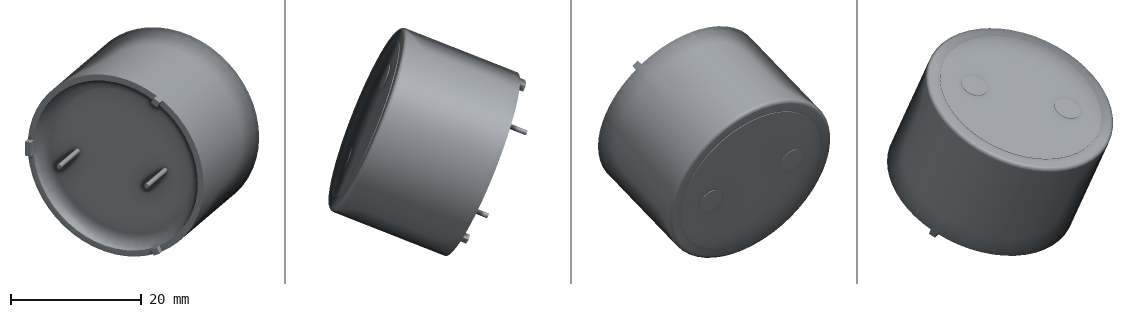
import cadquery as cq
import math

body_diameter = 30.2
overall_length = 23.65
pin_reach = 4.32
back_edge_radius = 0.6

recess_diameter = 28.2
recess_floor_diameter = 24.22
recess_depth = (recess_diameter - recess_floor_diameter) / 2

back_plate_diameter = 26.0
back_plate_height = 0.1
back_boss_diameter = 4.1
back_boss_height = 0.1

pin_diameter = 0.8
pin_spacing = 15.0

foot_height = 0.95
wide_foot_width = 2.42
narrow_foot_width = 1.15
foot_angles_and_widths = (
    (180, wide_foot_width),
    (60, narrow_foot_width),
    (-60, narrow_foot_width),
)

body_length = overall_length - pin_reach - back_plate_height - back_boss_height
back_plate_end = body_length + back_plate_height
body_radius = body_diameter / 2
recess_radius = recess_diameter / 2
floor_radius = recess_floor_diameter / 2
pin_positions = (-pin_spacing / 2, pin_spacing / 2)


def cylinder_along_y(diameter, start_y, end_y, x=0):
    """Solid cylinder parallel to Y between two Y positions."""
    return cq.Workplane(
        cq.Solid.makeCylinder(
            diameter / 2, end_y - start_y, cq.Vector(x, start_y, 0), cq.Vector(0, 1, 0)
        )
    )


def make_housing():
    """Revolved body with a concave quarter-round wall around the recess floor."""
    wall_middle = (
        floor_radius + recess_depth * math.sin(math.pi / 4),
        recess_depth * math.cos(math.pi / 4),
    )
    edge_middle = (
        body_radius - back_edge_radius * (1 - math.cos(math.pi / 4)),
        body_length - back_edge_radius * (1 - math.sin(math.pi / 4)),
    )
    return (
        cq.Workplane("XY")
        .moveTo(0, recess_depth)
        .lineTo(floor_radius, recess_depth)
        .threePointArc(wall_middle, (recess_radius, 0))
        .lineTo(body_radius, 0)
        .lineTo(body_radius, body_length - back_edge_radius)
        .threePointArc(edge_middle, (body_radius - back_edge_radius, body_length))
        .lineTo(0, body_length)
        .close()
        .revolve(360, (0, 0, 0), (0, 1, 0))
    )


def make_foot(angle, width):
    """Parallel-sided piece of the rim ring, standing on the rim at an angle about Y."""
    ring = cylinder_along_y(body_diameter, -foot_height, 0).cut(
        cylinder_along_y(recess_diameter, -foot_height, 0)
    )
    strip = cq.Workplane("XY").box(
        body_diameter, foot_height, width, centered=(False, False, True)
    )
    foot = ring.intersect(strip.translate((0, -foot_height, 0)))
    return foot.rotate((0, 0, 0), (0, 1, 0), angle)


result = make_housing()
result = result.union(cylinder_along_y(back_plate_diameter, body_length, back_plate_end))

for pin_x in pin_positions:
    pin = cylinder_along_y(pin_diameter, -pin_reach, recess_depth, pin_x)
    boss = cylinder_along_y(
        back_boss_diameter, back_plate_end, back_plate_end + back_boss_height, pin_x
    )
    result = result.union(pin).union(boss)

for foot_angle, foot_width in foot_angles_and_widths:
    result = result.union(make_foot(foot_angle, foot_width))